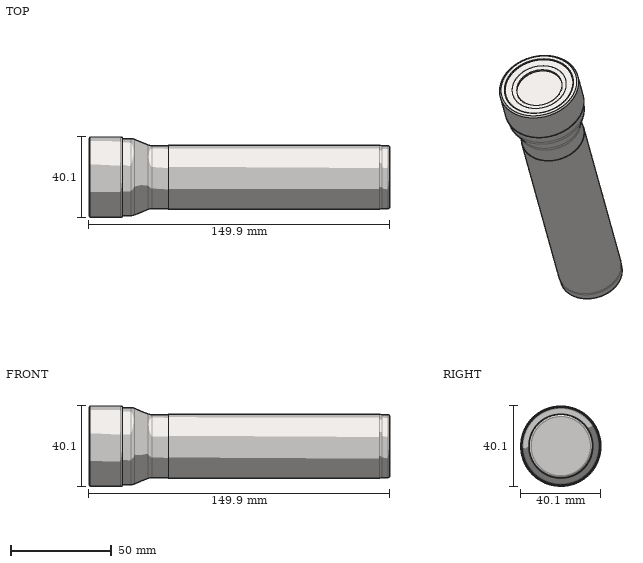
import cadquery as cq
import math


bezel_diameter = 40.11
head_diameter = 38.5
tube_diameter = 32.0
neck_diameter = 31.5
spigot_diameter = 27.4

total_length = 149.95
bezel_round_start = 15.9
bezel_back = 16.85
head_corner = 21.9
neck_corner = 30.4
tube_front = 39.7
tail_length = 3.9
tube_taper_length = 1.3
tail_front = total_length - tail_length
tube_back = tail_front - tube_taper_length

bezel_front_chamfer_length = 0.6
bezel_front_chamfer_depth = 0.9
bezel_back_round = 1.2
head_blend_radius = 5.0
tail_fillet = 1.0

dish_diameter = 35.0
dish_inner_diameter = 34.2
rim_slope_depth = 0.1
dish_step = 0.4
dish_depth = 1.3
window_diameter = 22.9
window_recess = 1.0
window_depth = dish_depth + window_recess

bezel_radius = bezel_diameter / 2
head_radius = head_diameter / 2
tube_radius = tube_diameter / 2
neck_radius = neck_diameter / 2
spigot_radius = spigot_diameter / 2
dish_radius = dish_diameter / 2
dish_inner_radius = dish_inner_diameter / 2
window_radius = window_diameter / 2

dish_slope = (dish_depth - dish_step) / (dish_inner_radius - window_radius)
seam_depth = dish_step + dish_slope * (dish_inner_radius - spigot_radius)


def revolve_about_x(profile):
    return profile.close().revolve(360, (0, 0, 0), (1, 0, 0))


def make_bezel():
    round_length = bezel_back - bezel_round_start
    round_drop = bezel_back_round - math.sqrt(bezel_back_round**2 - round_length**2)
    bezel_back_radius = bezel_radius - round_drop
    profile = (
        cq.Workplane("XY")
        .moveTo(seam_depth, spigot_radius)
        .lineTo(dish_step, dish_inner_radius)
        .lineTo(rim_slope_depth, dish_radius)
        .lineTo(0, bezel_radius - bezel_front_chamfer_depth)
        .lineTo(bezel_front_chamfer_length, bezel_radius)
        .lineTo(bezel_round_start, bezel_radius)
        .radiusArc((bezel_back, bezel_back_radius), bezel_back_round)
        .lineTo(bezel_back, spigot_radius)
    )
    return revolve_about_x(profile)


def make_body():
    slope = math.atan2(head_radius - neck_radius, neck_corner - head_corner)
    tangent = head_blend_radius * math.tan(slope / 2)
    along = tangent * math.cos(slope)
    drop = tangent * math.sin(slope)
    profile = (
        cq.Workplane("XY")
        .moveTo(window_depth, 0)
        .lineTo(window_depth, window_radius)
        .lineTo(dish_depth, window_radius)
        .lineTo(seam_depth, spigot_radius)
        .lineTo(bezel_back, spigot_radius)
        .lineTo(bezel_back, head_radius)
        .lineTo(head_corner - tangent, head_radius)
        .radiusArc((head_corner + along, head_radius - drop), head_blend_radius)
        .lineTo(neck_corner - along, neck_radius + drop)
        .radiusArc((neck_corner + tangent, neck_radius), -head_blend_radius)
        .lineTo(tube_front, neck_radius)
        .lineTo(tube_front, tube_radius)
        .lineTo(tube_back, tube_radius)
        .lineTo(tail_front, neck_radius)
        .lineTo(total_length - tail_fillet, neck_radius)
        .radiusArc((total_length, neck_radius - tail_fillet), tail_fillet)
        .lineTo(total_length, 0)
    )
    return revolve_about_x(profile)


bezel = make_bezel()
body = make_body()
result = cq.Compound.makeCompound([bezel.val(), body.val()])